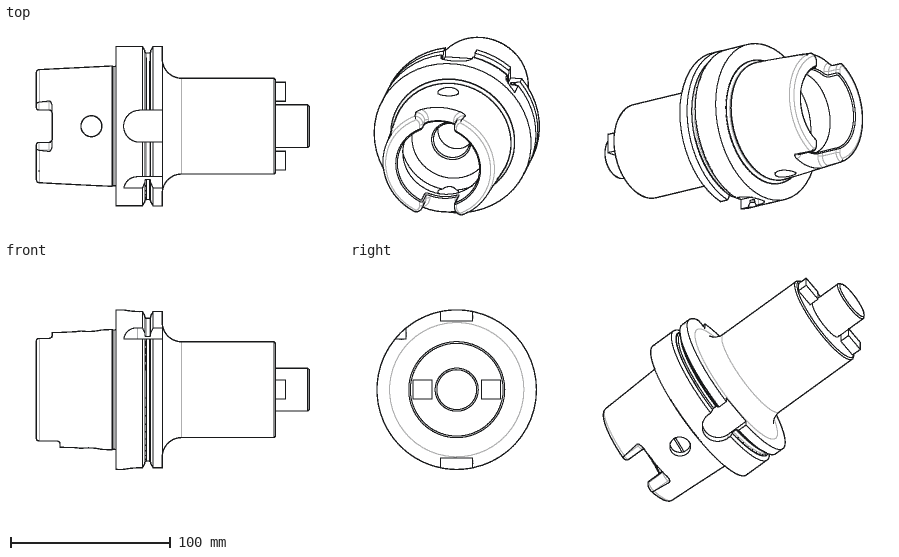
import cadquery as cq
import math


total_length = 171.0
taper_end_x = 47.4
flange_start_x = 50.0
flange_end_x = 79.0
shank_end_x = 150.0

taper_end_radius = 37.8
taper_slope = 1 / 20
flange_radius = 100.0 / 2
shank_radius = 30.1
pilot_radius = 13.5
flange_fillet = 12.0
step_chamfer = 1.0
end_rounding = 2.0
wall_end_rounding = 1.7

neck_radius = 37.5
neck_start_x = 48.0
relief_outer_radius = 39.5
relief_depth = 0.7
relief_fillet = 1.7

groove_start_x = 66.5
groove_end_x = 73.2
groove_flank_width = 1.5
groove_flank_angle = 30
groove_depth = 4.1
groove_floor_fillet = 0.9

slot_width = 20.0
slot_start_x = 54.7
slot_floor_z = 43.0
corner_wall_offset = 31.6
corner_end_radius = 8.5

notch_half_width = 10.1
notch_wall_rounding = 5.0
notch_rounding_start_z = 27.2
upper_notch_depth = 10.0
lower_notch_depth = 14.9
notch_floor_fillet = 2.0

bore_radius = 26.2
mouth_chamfer = 0.9
undercut_start_x = 19.8
undercut_radius = 30.8
undercut_end_x = 39.3
bore_floor_radius = 25.0
coolant_radius = 12.5
coolant_chamfer = 1.0
coolant_end_x = 61.5

cross_hole_x = 34.5
cross_hole_diameter = 13.0

key_size = 12.0
key_length = 6.2
key_inner_y = 15.5

edge_margin = 0.2


def turned_body():
    """Outer shape of the arbor, revolved about X."""
    taper_start_radius = taper_end_radius - taper_end_x * taper_slope
    relief_floor_x = flange_start_x + relief_depth
    arc_mid = 1 - math.sqrt(0.5)
    flange_arc_x = flange_end_x + flange_fillet * arc_mid
    flange_arc_radius = shank_radius + flange_fillet * arc_mid
    profile = (
        cq.Workplane("XY")
        .moveTo(0, 0)
        .lineTo(0, taper_start_radius)
        .lineTo(taper_end_x, taper_end_radius)
        .lineTo(neck_start_x, neck_radius)
        .lineTo(relief_floor_x - relief_fillet, neck_radius)
        .radiusArc((relief_floor_x, neck_radius + relief_fillet), -relief_fillet)
        .lineTo(relief_floor_x, relief_outer_radius)
        .lineTo(flange_start_x, relief_outer_radius)
        .lineTo(flange_start_x, flange_radius)
        .lineTo(flange_end_x, flange_radius)
        .lineTo(flange_end_x, shank_radius + flange_fillet)
        .threePointArc((flange_arc_x, flange_arc_radius), (flange_end_x + flange_fillet, shank_radius))
        .lineTo(shank_end_x - step_chamfer, shank_radius)
        .lineTo(shank_end_x, shank_radius - step_chamfer)
        .lineTo(shank_end_x, pilot_radius)
        .lineTo(total_length - step_chamfer, pilot_radius)
        .lineTo(total_length, pilot_radius - step_chamfer)
        .lineTo(total_length, 0)
        .close()
    )
    return profile.revolve(360, (0, 0, 0), (1, 0, 0))


def gripper_groove():
    """Ring with sloping upper flanks, straight lower walls and a rounded floor."""
    floor_radius = flange_radius - groove_depth
    flank_depth = groove_flank_width / math.tan(math.radians(groove_flank_angle))
    flank_radius = flange_radius - flank_depth
    left_wall_x = groove_start_x + groove_flank_width
    right_wall_x = groove_end_x - groove_flank_width
    ring = (
        cq.Workplane("XY")
        .polyline([
            (groove_start_x, flange_radius),
            (left_wall_x, flank_radius),
            (left_wall_x, floor_radius),
            (right_wall_x, floor_radius),
            (right_wall_x, flank_radius),
            (groove_end_x, flange_radius),
        ])
        .close()
        .revolve(360, (0, 0, 0), (1, 0, 0))
    )
    floor_edges = cq.selectors.RadiusNthSelector(0)
    return ring.edges(floor_edges).fillet(groove_floor_fillet)


def round_ended_slot(center_y, end_radius, floor_z):
    """Slot cutter parallel to X with a round end, open towards the shank and upwards."""
    center_x = slot_start_x + end_radius
    height = flange_radius - floor_z
    length = flange_end_x - center_x
    channel = cq.Workplane("XY").box(length, 2 * end_radius, height, centered=(False, True, False))
    round_end = cq.Workplane("XY").circle(end_radius).extrude(height)
    return channel.union(round_end).translate((center_x, center_y, floor_z))


def flange_cutters():
    """Two opposite slots and the corner notch."""
    upper_slot = round_ended_slot(0, slot_width / 2, slot_floor_z)
    lower_slot = upper_slot.mirror("XY")
    corner_center_y = -corner_wall_offset - corner_end_radius
    corner_notch = round_ended_slot(corner_center_y, corner_end_radius, corner_wall_offset)
    return [upper_slot, lower_slot, corner_notch]


def notch_wall_edges(x):
    """Selector for the edges at x that bound the notch walls, leaving out the far outer sides."""
    reach = taper_end_radius - edge_margin
    return cq.selectors.BoxSelector((x - edge_margin, -reach, edge_margin), (x + edge_margin, reach, reach))


def drive_notch(depth):
    """Notch cutter in +Z with rounded floor edges, flaring into a slab in front of the open end."""
    outer_half_width = notch_half_width + notch_wall_rounding
    shoulder_z = notch_rounding_start_z + notch_wall_rounding
    size = taper_end_radius
    notch = (
        cq.Workplane("YZ")
        .moveTo(-notch_half_width, 0)
        .lineTo(notch_half_width, 0)
        .lineTo(notch_half_width, notch_rounding_start_z)
        .radiusArc((outer_half_width, shoulder_z), notch_wall_rounding)
        .lineTo(size, shoulder_z)
        .lineTo(size, size)
        .lineTo(-size, size)
        .lineTo(-size, shoulder_z)
        .lineTo(-outer_half_width, shoulder_z)
        .radiusArc((-notch_half_width, notch_rounding_start_z), notch_wall_rounding)
        .close()
        .extrude(depth)
    )
    notch = notch.edges(notch_wall_edges(depth)).fillet(notch_floor_fillet)
    slab = cq.Workplane("XY").box(depth, 2 * size, size, centered=(False, True, False))
    flared = notch.union(slab.translate((-depth, 0, 0)))
    return flared.edges(notch_wall_edges(0)).fillet(wall_end_rounding)


def clamping_bore():
    """Straight mouth, undercut chamber closing in a cone, and blind coolant hole, revolved about X."""
    floor_x = undercut_end_x + undercut_radius - bore_floor_radius
    return (
        cq.Workplane("XY")
        .polyline([
            (0, 0),
            (0, bore_radius),
            (undercut_start_x, bore_radius),
            (undercut_start_x, undercut_radius),
            (undercut_end_x, undercut_radius),
            (floor_x, bore_floor_radius),
            (floor_x, coolant_radius),
            (floor_x + coolant_chamfer, coolant_radius - coolant_chamfer),
            (coolant_end_x, coolant_radius - coolant_chamfer),
            (coolant_end_x, 0),
        ])
        .close()
        .revolve(360, (0, 0, 0), (1, 0, 0))
    )


def bore_mouth_edges():
    """Selector for the bore edges at the open end and along both drive notches."""
    reach = bore_radius + edge_margin
    return cq.selectors.BoxSelector(
        (-edge_margin, -reach, -reach),
        (undercut_start_x - edge_margin, reach, reach),
        boundingbox=True,
    )


def drive_key():
    """Block standing on the shank end at +Y."""
    key = cq.Workplane("XY").box(key_length, key_size, key_size, centered=(False, False, True))
    return key.translate((shank_end_x, key_inner_y, 0))


def cross_hole():
    """Hole along Z through both walls of the taper."""
    hole = cq.Workplane("XY").circle(cross_hole_diameter / 2).extrude(taper_end_radius, both=True)
    return hole.translate((cross_hole_x, 0, 0))


body = turned_body().faces("<X").edges().fillet(end_rounding)
body = body.cut(gripper_groove())
for cutter in flange_cutters():
    body = body.cut(cutter)

body = body.cut(drive_notch(upper_notch_depth))
body = body.cut(drive_notch(lower_notch_depth).mirror("XY"))
body = body.cut(clamping_bore())
body = body.faces("%CYLINDER").edges(bore_mouth_edges()).chamfer(mouth_chamfer)
body = body.cut(cross_hole())

key = drive_key()
result = body.union(key).union(key.mirror("XZ"))